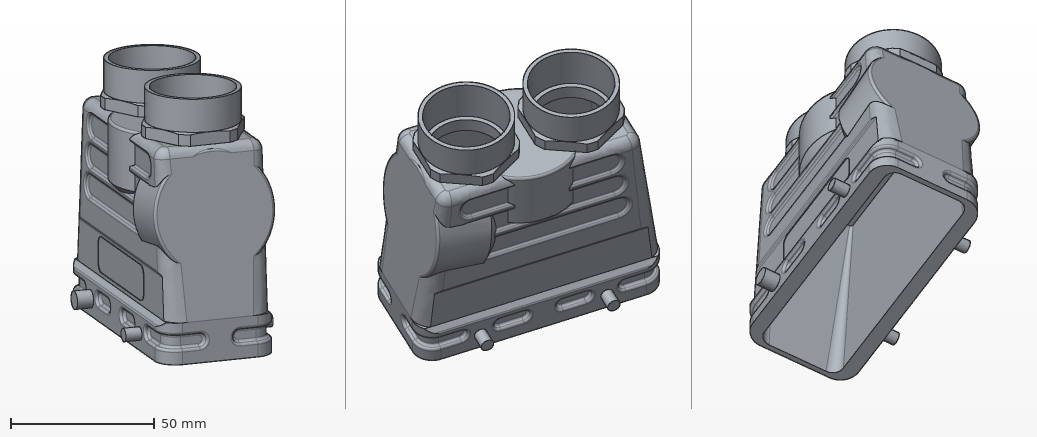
import cadquery as cq
import math

LENGTH = 93.5
FLANGE_WIDTH = 43.0
FLANGE_TOP = 15.15
FLANGE_CORNER = 7.5
FLANGE_EDGE_ROUND = 1.1

HOOD_WIDTH = 40.0
HOOD_TOP = 75.9
HOOD_TAPER = 8.0
HOOD_CORNER_BOTTOM = 7.6
HOOD_CORNER_TOP = 4.1
HOOD_TOP_ROUND = 3.9
WALL = 4.0
MIN_CORNER = 0.9

PANEL_DEPTH = 0.7
PANEL_TOP = 32.1
PANEL_STEP_RUN = 1.5

PLATE_LENGTH = 44.4
PLATE_HEIGHT = 13.0
PLATE_CENTRE_Z = 23.1
PLATE_CORNER = 3.1
PLATE_DEPTH = 0.2

GRIP_COUNT = 3
GRIP_TOP_Z = 67.7
GRIP_PITCH = 11.1
GRIP_HALF_LENGTH = 26.6
GRIP_HALF_STEP = 1.4
GRIP_HALF_HEIGHT = 5.2
GRIP_RUN = 1.9
GRIP_DEPTH = 1.2

SLOT_Z = 8.0
SLOT_HALF_HEIGHT = 3.5
SLOT_RUN = 2.0
SLOT_DEPTH = 2.0
SLOT_CENTRE_X = 11.9
SLOT_HALF_LENGTH = 7.9
CORNER_SLOT_END_X = 27.9
CORNER_SLOT_END_Y = 4.0

BOSS_RADIUS = 22.5
BOSS_ROUND = 0.9
BOSS_CONE = 5.6
TOP_BOSS_LENGTH = 21.8
SIDE_BOSS_LENGTH = 20.9
SIDE_BOSS_Z = 52.4

COLLAR_X = 20.0
COLLAR_TOP = 92.5
COLLAR_DIAMETER = 33.8
COLLAR_BORE = 30.5
COLLAR_BORE_FLOOR = 77.1
ENTRY_BORE = 27.0
NUT_FLATS = 34.0
NUT_CORNERS = 37.1
NUT_TOP = 80.5
NUT_BEVEL = 0.5

PIN_X = 24.1
PIN_Z = 6.2
PIN_TIP_Y = 27.5
PIN_ROOT_Y = 18.7
PIN_DIAMETER = 4.8
BIG_PIN_DIAMETER = 6.5

CLEARANCE = 0.9
GRIP_SECTION = (GRIP_HALF_HEIGHT, GRIP_RUN, GRIP_DEPTH)
SLOT_SECTION = (SLOT_HALF_HEIGHT, SLOT_RUN, SLOT_DEPTH)


def hood_length(z):
    """Length of the hood along X at height z."""
    return LENGTH - 2 * (z - FLANGE_TOP) * math.tan(math.radians(HOOD_TAPER))


def add_s_curve(sketch, start, run, depth):
    """Add two equal tangent arcs rising from a floor to a surface `depth` higher and `run` further out."""
    turn = 2 * math.atan2(depth, run)
    radius = run / (2 * math.sin(turn))
    along = radius * math.sin(turn / 2)
    rise = radius * (1 - math.cos(turn / 2))
    u, v = start
    middle = (u + run / 2, v + depth / 2)
    end = (u + run, v + depth)
    sketch = sketch.threePointArc((u + along, v + rise), middle)
    return sketch.threePointArc((end[0] - along, end[1] - rise), end)


def half_groove(plane, half_height, run, depth, surface=0.0):
    """Half section of a groove: first axis across the groove, second axis out of the wall at `surface`."""
    floor = (half_height - run, surface - depth)
    sketch = cq.Workplane(plane).moveTo(0, surface - depth).lineTo(*floor)
    sketch = add_s_curve(sketch, floor, run, depth)
    return sketch.lineTo(half_height, surface + CLEARANCE).lineTo(0, surface + CLEARANCE).close()


def groove_arm(x_start, x_end, half_height, run, depth):
    """Straight groove cutter along X below the plane Z = 0."""
    half = half_groove("YZ", half_height, run, depth).extrude(x_end - x_start)
    half = half.translate((x_start, 0, 0))
    return half.union(half.mirror("XZ"))


def groove_end(x, half_height, run, depth):
    """Round groove end below the plane Z = 0."""
    end = half_groove("XZ", half_height, run, depth).revolve(360, (0, 0, 0), (0, 1, 0))
    return end.translate((x, 0, 0))


def onto_front(cutter, wall_y, z):
    """Turn a cutter made on Z = 0 so that it cuts the wall facing -Y."""
    return cutter.rotate((0, 0, 0), (1, 0, 0), 90).translate((0, -wall_y, z))


def tapered_block(bottom_z, top_z, inset):
    """Hood shape, moved inward by `inset` on all four walls."""
    def section(z):
        share = (z - FLANGE_TOP) / (HOOD_TOP - FLANGE_TOP)
        corner = HOOD_CORNER_BOTTOM + share * (HOOD_CORNER_TOP - HOOD_CORNER_BOTTOM)
        corner = max(corner - inset, MIN_CORNER)
        return cq.Sketch().rect(hood_length(z) - 2 * inset, HOOD_WIDTH - 2 * inset).vertices().fillet(corner)

    lower = section(bottom_z).moved(cq.Location(cq.Vector(0, 0, bottom_z)))
    upper = section(top_z).moved(cq.Location(cq.Vector(0, 0, top_z)))
    return cq.Workplane("XY").placeSketch(lower, upper).loft()


def make_flange():
    """Base block; its long upper edges slope in to meet the stepped-back panels."""
    block = cq.Workplane("XY").rect(LENGTH, FLANGE_WIDTH).extrude(FLANGE_TOP)
    block = block.edges("|Z").fillet(FLANGE_CORNER)
    slope = (FLANGE_WIDTH - HOOD_WIDTH) / 2 + PANEL_DEPTH
    envelope = cq.Workplane("XY").box(LENGTH, FLANGE_WIDTH, FLANGE_TOP, centered=(True, True, False))
    envelope = envelope.edges("|X and >Z").chamfer(slope)
    envelope = envelope.edges("|X").edges(">>Z[-2]").fillet(FLANGE_EDGE_ROUND)
    return block.intersect(envelope)


def make_hood():
    """Tapered hood with rounded top edges."""
    hood = tapered_block(FLANGE_TOP, HOOD_TOP, 0)
    return hood.faces(">Z").edges().fillet(HOOD_TOP_ROUND)


def panel_cutter():
    """Band that steps the lower part of the front wall back."""
    floor_y = HOOD_WIDTH / 2 - PANEL_DEPTH
    outside = PANEL_DEPTH + CLEARANCE
    floor = (PANEL_TOP - PANEL_STEP_RUN, 0)
    band = cq.Workplane("YZ").moveTo(FLANGE_TOP, 0).lineTo(*floor)
    band = add_s_curve(band, floor, PANEL_STEP_RUN, PANEL_DEPTH)
    band = band.lineTo(PANEL_TOP, outside).lineTo(FLANGE_TOP, outside).close()
    return onto_front(band.extrude(LENGTH / 2, both=True), floor_y, 0)


def plate_cutter():
    """Shallow rounded rectangle in the front panel."""
    floor_y = HOOD_WIDTH / 2 - PANEL_DEPTH - PLATE_DEPTH
    plate = cq.Workplane("XY").rect(PLATE_LENGTH, PLATE_HEIGHT).extrude(CLEARANCE)
    plate = plate.edges("|Z").fillet(PLATE_CORNER)
    return onto_front(plate, floor_y, PLATE_CENTRE_Z)


def groove_cutter(half_length, section):
    """Groove with two round ends, centred on the origin."""
    cutter = groove_arm(-half_length, half_length, *section)
    for x in (-half_length, half_length):
        cutter = cutter.union(groove_end(x, *section))
    return cutter


def corner_slot_cutters():
    """Front arm, side arm and bend of the slot wrapped round the flange corner at -X, -Y."""
    bend_x = FLANGE_CORNER - LENGTH / 2
    bend_y = FLANGE_CORNER - FLANGE_WIDTH / 2
    front_end = -CORNER_SLOT_END_X - SLOT_HALF_HEIGHT
    side_end = CORNER_SLOT_END_Y + SLOT_HALF_HEIGHT

    front = groove_arm(bend_x, front_end, *SLOT_SECTION).union(groove_end(front_end, *SLOT_SECTION))
    front = onto_front(front, FLANGE_WIDTH / 2, SLOT_Z)

    side = groove_arm(side_end, -bend_y, *SLOT_SECTION).union(groove_end(side_end, *SLOT_SECTION))
    side = onto_front(side, LENGTH / 2, SLOT_Z).rotate((0, 0, 0), (0, 0, 1), -90)

    section_plane = cq.Plane(origin=(0, 0, 0), xDir=(0, 0, 1), normal=(1, 0, 0))
    half_bend = half_groove(section_plane, *SLOT_SECTION, surface=FLANGE_CORNER)
    half_bend = half_bend.revolve(90, (0, 0, 0), (-1, 0, 0))
    bend = half_bend.union(half_bend.mirror("XY")).translate((bend_x, bend_y, SLOT_Z))
    return [front, side, bend]


def make_boss(length):
    """Boss along Z, end face at Z = 0, inner end a 45 degree cone."""
    boss = cq.Workplane("XY").circle(BOSS_RADIUS).extrude(-length)
    boss = boss.faces(">Z").edges().fillet(BOSS_ROUND)
    cone_start = cq.Vector(0, 0, -length)
    cone_end_radius = BOSS_RADIUS - BOSS_CONE
    cone = cq.Solid.makeCone(BOSS_RADIUS, cone_end_radius, BOSS_CONE, cone_start, cq.Vector(0, 0, -1))
    return boss.union(cq.Workplane(cone))


def make_collar():
    """Solid hexagon nut and tube standing on the hood top."""
    nut_height = NUT_TOP - HOOD_TOP
    nut = cq.Workplane("XY").polygon(6, NUT_FLATS, circumscribed=True).extrude(nut_height)
    rounding = cq.Workplane("XY").circle(NUT_CORNERS / 2).extrude(nut_height)
    bevel_width = (NUT_CORNERS - COLLAR_DIAMETER) / 2
    rounding = rounding.faces(">Z").edges().chamfer(NUT_BEVEL, bevel_width)
    tube = cq.Workplane("XY").circle(COLLAR_DIAMETER / 2).extrude(COLLAR_TOP - HOOD_TOP)
    return nut.intersect(rounding).union(tube).translate((0, 0, HOOD_TOP))


def entry_bore():
    """Through bore with a wider counterbore, on the Z axis."""
    through = cq.Workplane("XY").workplane(offset=HOOD_TOP - 2 * WALL).circle(ENTRY_BORE / 2)
    through = through.extrude(COLLAR_TOP - HOOD_TOP + 2 * WALL)
    wide = cq.Workplane("XY").workplane(offset=COLLAR_BORE_FLOOR).circle(COLLAR_BORE / 2)
    return through.union(wide.extrude(COLLAR_TOP - COLLAR_BORE_FLOOR))


def make_pin(x, diameter, side):
    """Pin on the front (side = -1) or back (side = 1) of the flange."""
    pin = cq.Workplane("XZ").center(x, PIN_Z).circle(diameter / 2).extrude(PIN_TIP_Y - PIN_ROOT_Y)
    pin = pin.translate((0, -PIN_ROOT_Y, 0))
    return pin if side < 0 else pin.mirror("XZ")


def cut_both_walls(body, cutter):
    """Cut the front wall and its mirror image at the back."""
    return body.cut(cutter).cut(cutter.mirror("XZ"))


result = cut_both_walls(make_hood(), panel_cutter())
result = result.cut(plate_cutter())
for row in range(GRIP_COUNT):
    grip = groove_cutter(GRIP_HALF_LENGTH + row * GRIP_HALF_STEP, GRIP_SECTION)
    grip = onto_front(grip, HOOD_WIDTH / 2, GRIP_TOP_Z - row * GRIP_PITCH)
    result = cut_both_walls(result, grip)

flange = make_flange()
for x in (-SLOT_CENTRE_X, SLOT_CENTRE_X):
    slot = groove_cutter(SLOT_HALF_LENGTH - SLOT_HALF_HEIGHT, SLOT_SECTION)
    slot = onto_front(slot, FLANGE_WIDTH / 2, SLOT_Z).translate((x, 0, 0))
    flange = cut_both_walls(flange, slot)
for cutter in corner_slot_cutters():
    flange = cut_both_walls(flange, cutter)
    flange = cut_both_walls(flange, cutter.mirror("YZ"))
result = result.union(flange)

top_boss = make_boss(TOP_BOSS_LENGTH).translate((0, 0, HOOD_TOP))
side_boss = make_boss(SIDE_BOSS_LENGTH).rotate((0, 0, 0), (0, 1, 0), 90 - HOOD_TAPER)
side_boss = side_boss.translate((hood_length(SIDE_BOSS_Z) / 2, 0, SIDE_BOSS_Z))
result = result.union(top_boss).union(side_boss)

result = result.cut(tapered_block(0, HOOD_TOP - WALL, WALL))
for x in (-COLLAR_X, COLLAR_X):
    result = result.union(make_collar().translate((x, 0, 0)))
    result = result.cut(entry_bore().translate((x, 0, 0)))
for side in (-1, 1):
    result = result.union(make_pin(PIN_X, PIN_DIAMETER, side))
result = result.union(make_pin(-PIN_X, BIG_PIN_DIAMETER, -1))
result = result.union(make_pin(-PIN_X, PIN_DIAMETER, 1))